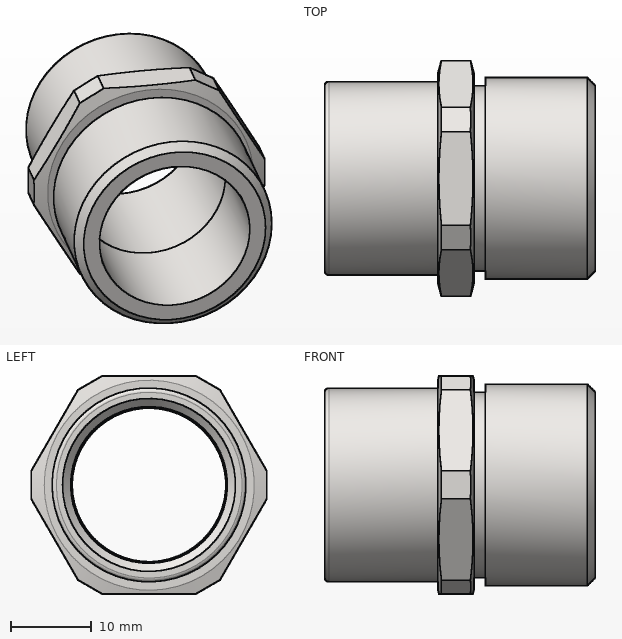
import cadquery as cq
import math

total_length = 33.5

hex_start = 14.0
hex_width = 4.5
hex_end = hex_start + hex_width
neck_end = 19.9

spigot_diameter = 24.0
neck_diameter = 22.98
thread_diameter = 25.0

across_flats = 27.0
across_cut_corners = 29.18
half_sector = 30.0
corners_per_flats = 1 / math.cos(math.radians(half_sector))
hex_face_diameter = 26.0
hex_chamfer_angle = 15.0

spigot_edge_radius = 0.5
thread_chamfer = 1.0

lead_in_diameter = 21.4
lead_in_depth = 1.0
spigot_bore_diameter = 19.4
thread_bore_diameter = 19.0


def cylinder(diameter, start, end):
    """Round bar on the X axis between two positions."""
    return cq.Workplane("YZ", origin=(start, 0, 0)).circle(diameter / 2).extrude(end - start)


def make_spigot():
    """Plain tube end with a rounded outer rim."""
    return cylinder(spigot_diameter, 0, hex_end).faces("<X").edges().fillet(spigot_edge_radius)


def make_collar():
    """Hexagon with its six corners cut flat and both faces chamfered by a cone."""
    across_corners = across_flats * corners_per_flats
    plane = cq.Workplane("YZ", origin=(hex_start, 0, 0))
    collar = plane.polygon(6, across_corners).extrude(hex_width)
    corner_cutter = plane.polygon(6, across_cut_corners * corners_per_flats).extrude(hex_width)
    collar = collar.intersect(corner_cutter.rotate((0, 0, 0), (1, 0, 0), half_sector))

    face_radius = hex_face_diameter / 2
    outer_radius = across_corners / 2
    cone_depth = (outer_radius - face_radius) * math.tan(math.radians(hex_chamfer_angle))
    envelope = (
        cq.Workplane("XY")
        .moveTo(hex_start, 0)
        .lineTo(hex_start, face_radius)
        .lineTo(hex_start + cone_depth, outer_radius)
        .lineTo(hex_end - cone_depth, outer_radius)
        .lineTo(hex_end, face_radius)
        .lineTo(hex_end, 0)
        .close()
        .revolve(360, (0, 0, 0), (1, 0, 0))
    )
    return collar.intersect(envelope)


def make_thread_end():
    """Relief neck and thread blank with a chamfered outer end."""
    neck = cylinder(neck_diameter, hex_end, neck_end)
    thread = cylinder(thread_diameter, neck_end, total_length)
    thread = thread.faces(">X").edges().chamfer(thread_chamfer)
    return neck.union(thread)


def make_passage():
    """Through passage with a conical lead-in at the plain end."""
    profile = (
        cq.Workplane("XY")
        .lineTo(0, lead_in_diameter / 2)
        .lineTo(lead_in_depth, spigot_bore_diameter / 2)
        .lineTo(hex_end, spigot_bore_diameter / 2)
        .lineTo(hex_end, thread_bore_diameter / 2)
        .lineTo(total_length, thread_bore_diameter / 2)
        .lineTo(total_length, 0)
        .close()
    )
    return profile.revolve(360, (0, 0, 0), (1, 0, 0))


body = make_spigot().union(make_collar()).union(make_thread_end())
result = body.cut(make_passage())